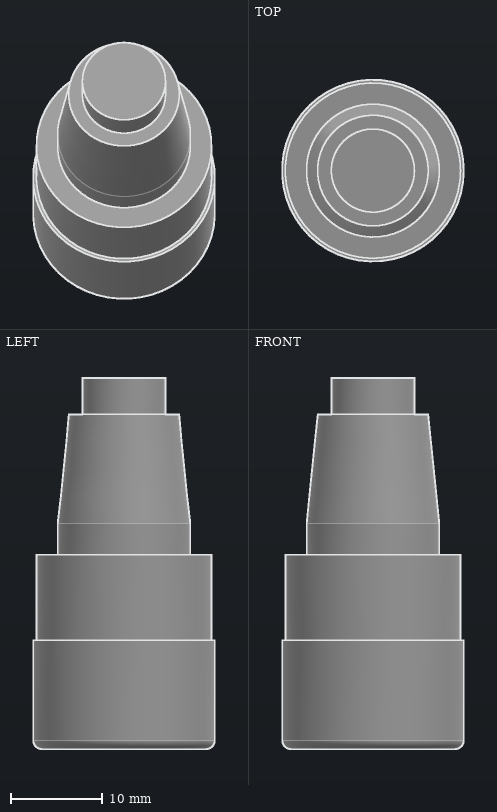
import cadquery as cq

total_height = 40.8
sleeve_height = 12.0
barrel_top = 21.38
collar_top = 24.8
cone_top = 36.8

sleeve_radius = 10.0
barrel_radius = 9.63
collar_radius = 7.3
cone_top_radius = 6.08
core_radius = 4.55

bottom_round = 1.0


def make_sleeve():
    """Gripping sleeve with a rounded bottom edge."""
    sleeve = cq.Workplane("XY").circle(sleeve_radius).extrude(sleeve_height)
    return sleeve.faces("<Z").edges().fillet(bottom_round)


def make_plug():
    """Stepped plug standing on the sleeve: barrel, collar, cone and top stub."""
    outline = [
        (0, sleeve_height),
        (barrel_radius, sleeve_height),
        (barrel_radius, barrel_top),
        (collar_radius, barrel_top),
        (collar_radius, collar_top),
        (cone_top_radius, cone_top),
        (core_radius, cone_top),
        (core_radius, total_height),
        (0, total_height),
    ]
    return cq.Workplane("XZ").polyline(outline).close().revolve(360, (0, 0, 0), (0, 1, 0))


sleeve = make_sleeve()
plug = make_plug()
result = cq.Compound.makeCompound([sleeve.val(), plug.val()])